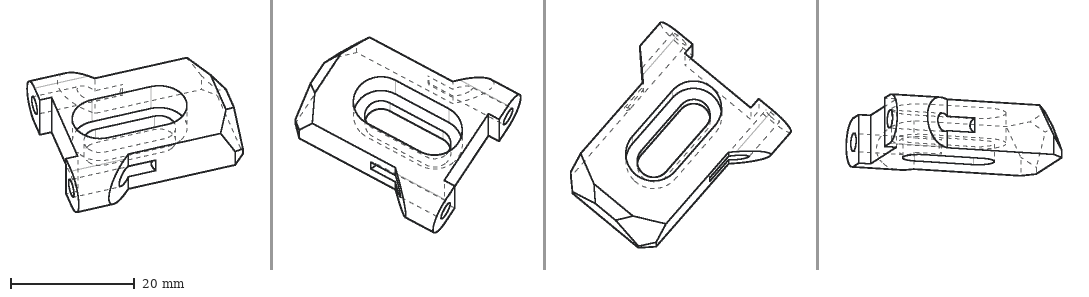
import cadquery as cq

length = 30.0
width = 27.78
height = 8.0

body_width = 18.1
ear_side_length = 5.1
notch_width = 13.98
notch_depth = 1.98

corner_length = 1.98
nose_chamfer = 1.98
slant_start = 25.55

slot_center_y = 13.0
slot_spacing = 10.0
slot_width = 5.3
recess_width = 9.0
recess_depth = 5.0

hole_diameter = 2.9
hole_end_y = 14.6

half_width = width / 2
half_body = body_width / 2
half_notch = notch_width / 2
ear_radius = height / 2
ear_center_x = half_width - ear_radius
shoulder_y = ear_side_length + half_width - half_body


def make_body():
    """Plan outline with 45 degree shoulders, trimmed to rounded long sides."""
    half_outline = [
        (0, notch_depth),
        (half_notch, notch_depth),
        (half_notch, 0),
        (half_width, 0),
        (half_width, ear_side_length),
        (half_body, shoulder_y),
        (half_body, length - corner_length),
        (half_notch, length),
        (0, length),
    ]
    plate = cq.Workplane("XY").polyline(half_outline).close().extrude(height)
    plate = plate.union(plate.mirror("YZ")).clean()
    envelope = cq.Workplane("XZ", origin=(0, 0, height / 2)).slot2D(width, height).extrude(-length)
    return plate.intersect(envelope)


def make_slot(thickness, bottom, end_diameter):
    """Lengthwise slot cutter with round ends."""
    return (
        cq.Workplane("XY", origin=(0, slot_center_y, bottom))
        .slot2D(slot_spacing + end_diameter, end_diameter, 90)
        .extrude(thickness)
    )


def make_nose_chamfer():
    """Wedge across the upper front edge."""
    return (
        cq.Workplane("YZ")
        .polyline([(length - nose_chamfer, height), (length, height), (length, height - nose_chamfer)])
        .close()
        .extrude(half_width, both=True)
    )


def make_slant_cut(side):
    """Block above the plane with normal (1, 2, 1), mirrored for the other side."""
    block = 2 * length
    plane = cq.Plane(origin=(side * half_body, slant_start, height), xDir=(2, -side, 0), normal=(side, 2, 1))
    return cq.Workplane(plane).rect(block, block).extrude(block)


def make_hole(side):
    """Ear hole that ends on a plane at 45 degrees to the body side."""
    hole = (
        cq.Workplane("XZ", origin=(side * ear_center_x, 0, height / 2))
        .circle(hole_diameter / 2)
        .extrude(-length)
    )
    limit = (
        cq.Workplane("XY")
        .polyline([
            (0, 0),
            (side * half_width, 0),
            (side * half_width, hole_end_y + half_width - half_body),
            (0, hole_end_y - half_body),
        ])
        .close()
        .extrude(height)
    )
    return hole.intersect(limit)


result = make_body().cut(make_nose_chamfer())
for side in (-1, 1):
    result = result.cut(make_slant_cut(side)).cut(make_hole(side))
result = result.cut(make_slot(height, 0, slot_width))
result = result.cut(make_slot(recess_depth, height - recess_depth, recess_width))